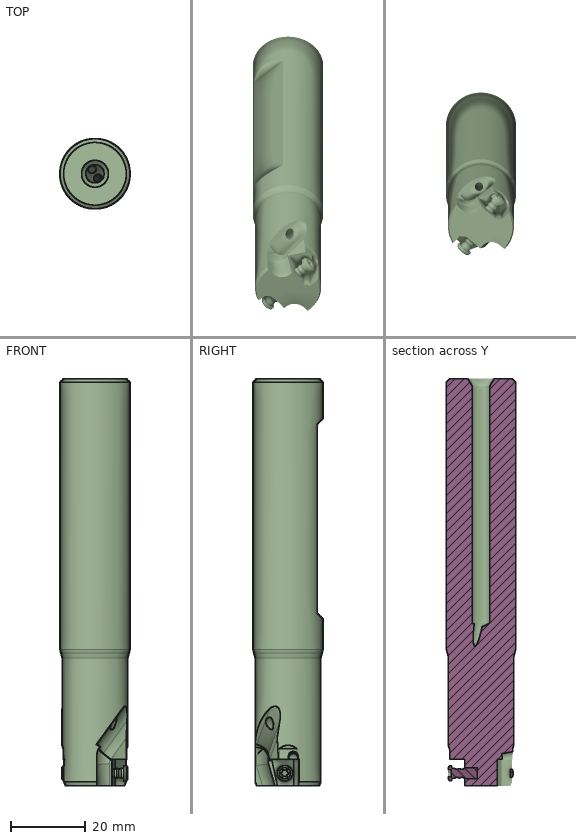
import cadquery as cq
import math


POCKET_ANGLES = (0, 180)
CLEAR = 11.0

LENGTH = 109.9
SHANK_DIAMETER = 19.0
SHANK_RADIUS = SHANK_DIAMETER / 2
TOP_CHAMFER = 1.04
SHANK_END = 36.9
SHOULDER_RADIUS = 9.2
SHOULDER_END = 35.9
NECK_START = 34.6
NECK_RADIUS = 8.9
TIP_CHAMFER_WIDTH = 0.4
TIP_CHAMFER_HEIGHT = 1.1

FLAT_Y = 7.9
FLAT_BOTTOM = 46.6
FLAT_TOP = 97.6

BORE_DIAMETER = 5.0
BORE_RADIUS = BORE_DIAMETER / 2
BORE_MOUTH_RADIUS = 3.6
BORE_MOUTH_DEPTH = (BORE_MOUTH_RADIUS - BORE_RADIUS) * math.sqrt(3)
BORE_END = 44.0
BORE_TIP_HEIGHT = BORE_RADIUS / math.sqrt(3)
BRANCH_RADIUS = 1.1
BRANCH_RUN_OUT = 3
BRANCH_START = cq.Vector(0.7, -1.1, BORE_END)
BRANCH_EXIT = cq.Vector(5.1, -5.0, 16.9)

FLUTE_LEAN = math.radians(36)
FLUTE_RISE = 0.29
FLUTE_ORIGIN = cq.Vector(0.7, -10.1, 11.5)
FLUTE_CORNER_DEPTH = 4.5
FLUTE_FLOOR_WIDTH = 5.4
FLUTE_FLOOR_SLOPE = 0.15
FLUTE_LIP_SLOPE = 0.45
FLUTE_CORNER_RADIUS = 3.3
FLUTE_LIP_WIDTH = 8.8

GULLET_X = 0.5
GULLET_TOP = 11.5
GULLET_BEND = 6.0
GULLET_BEND_Y = -5.3
GULLET_TIP_Y = -3.5
GULLET_CORNER_RADIUS = 3.3

LAND_X = 4.6
SEAT_X = 4.5
SEAT_TOP = 7.1
SEAT_EDGE_TIP_Y = -2.9
SEAT_EDGE_TOP_Y = -4.4
WALL_FOOT_Y = 1.5
WALL_BEVEL_X = 5.5
WALL_BEVEL_Y = 2.9
WALL_RIM_Y = 3.1
RELIEF_FLOOR = cq.Vector(5.8, 1.4, 7.5)
RELIEF_TILT = math.radians(10)
RELIEF_RADIUS = 1.3
RELIEF_DEPTH = 5.5

CROWN_X = 8.6
CROWN_TOP = 10.0
CROWN_SLOPE_RISE = 1.0
CROWN_SLOPE_RUN = NECK_RADIUS - CROWN_X

SCREW_Y = -0.9
SCREW_Z = 3.4
SCREW_END_X = 1.1
THREAD_DIAMETER = 2.7
THREAD_RADIUS = THREAD_DIAMETER / 2
ROOT_RADIUS = 1.1
THREAD_PITCH = 1.3
THREAD_COUNT = 2
HEAD_RADIUS = 2.1
HEAD_BASE_X = 7.8
HEAD_RIM_X = 8.5
HEAD_TOP_X = 8.9
HEAD_TOP_RADIUS = 1.5
SOCKET_DEPTH = 0.8
SOCKET_RADIUS = 0.82
LOBE_RADIUS = 0.24
LOBE_COUNT = 6


def make_blank():
    profile = [
        (0, 0),
        (NECK_RADIUS - TIP_CHAMFER_WIDTH, 0),
        (NECK_RADIUS, TIP_CHAMFER_HEIGHT),
        (NECK_RADIUS, NECK_START),
        (SHOULDER_RADIUS, SHOULDER_END),
        (SHANK_RADIUS, SHANK_END),
        (SHANK_RADIUS, LENGTH - TOP_CHAMFER),
        (SHANK_RADIUS - TOP_CHAMFER, LENGTH),
        (0, LENGTH),
    ]
    return cq.Workplane("XZ").polyline(profile).close().revolve(360, (0, 0), (0, 1))


def flat_cutter():
    run = SHANK_RADIUS - FLAT_Y
    profile = [
        (FLAT_Y, FLAT_BOTTOM),
        (SHANK_RADIUS, FLAT_BOTTOM - run),
        (SHANK_RADIUS, FLAT_TOP + run),
        (FLAT_Y, FLAT_TOP),
    ]
    return cq.Workplane("YZ").polyline(profile).close().extrude(CLEAR, both=True)


def bore_cutter():
    profile = [
        (0, BORE_END - BORE_TIP_HEIGHT),
        (BORE_RADIUS, BORE_END),
        (BORE_RADIUS, LENGTH - BORE_MOUTH_DEPTH),
        (BORE_MOUTH_RADIUS, LENGTH),
        (0, LENGTH),
    ]
    return cq.Workplane("XZ").polyline(profile).close().revolve(360, (0, 0), (0, 1))


def branch_cutter():
    path = BRANCH_EXIT - BRANCH_START
    run_out = BRANCH_RUN_OUT * BRANCH_RADIUS
    hole = cq.Solid.makeCylinder(BRANCH_RADIUS, path.Length + run_out, BRANCH_START, path)
    return cq.Workplane(hole)


def flute_cutter():
    across = cq.Vector(math.cos(FLUTE_LEAN), 0, -math.sin(FLUTE_LEAN))
    along = cq.Vector(math.sin(FLUTE_LEAN), FLUTE_RISE, math.cos(FLUTE_LEAN))
    lip_depth = FLUTE_CORNER_DEPTH + FLUTE_FLOOR_WIDTH * FLUTE_FLOOR_SLOPE
    lip_end = FLUTE_FLOOR_WIDTH + FLUTE_LIP_WIDTH
    profile = [
        (0, -CLEAR),
        (0, FLUTE_CORNER_DEPTH),
        (FLUTE_FLOOR_WIDTH, lip_depth),
        (lip_end, lip_depth + FLUTE_LIP_WIDTH * FLUTE_LIP_SLOPE),
        (lip_end, -CLEAR),
    ]
    prism = (
        cq.Workplane(cq.Plane(FLUTE_ORIGIN, across, along))
        .polyline(profile)
        .close()
        .extrude(2 * CLEAR)
    )
    corner = cq.selectors.NearestToPointSelector(
        (FLUTE_ORIGIN + along * CLEAR + cq.Vector(0, FLUTE_CORNER_DEPTH, 0)).toTuple()
    )
    return prism.edges(cq.selectors.ParallelDirSelector(along)).edges(corner).fillet(FLUTE_CORNER_RADIUS)


def gullet_cutter():
    slope = (GULLET_TIP_Y - GULLET_BEND_Y) / GULLET_BEND
    profile = [
        (GULLET_TIP_Y + slope * CLEAR, -CLEAR),
        (GULLET_BEND_Y, GULLET_BEND),
        (GULLET_BEND_Y, GULLET_TOP),
        (-2 * CLEAR, GULLET_TOP),
        (-2 * CLEAR, -CLEAR),
    ]
    prism = cq.Workplane("YZ", origin=(GULLET_X, 0, 0)).polyline(profile).close().extrude(CLEAR)
    return prism.faces("<X").edges("not (<Y or <Z)").fillet(GULLET_CORNER_RADIUS)


def seat_cutter():
    wall_profile = [
        (LAND_X, -CLEAR),
        (LAND_X, WALL_FOOT_Y),
        (WALL_BEVEL_X, WALL_BEVEL_Y),
        (CLEAR, WALL_RIM_Y),
        (CLEAR, -CLEAR),
    ]
    opening = cq.Workplane("XY").polyline(wall_profile).close().extrude(SEAT_TOP)
    seat_profile = [
        (SEAT_EDGE_TIP_Y, 0),
        (WALL_FOOT_Y, 0),
        (WALL_FOOT_Y, SEAT_TOP),
        (SEAT_EDGE_TOP_Y, SEAT_TOP),
    ]
    seat = cq.Workplane("YZ", origin=(SEAT_X, 0, 0)).polyline(seat_profile).close().extrude(CLEAR)
    relief_axis = cq.Vector(math.cos(RELIEF_TILT), 0, math.sin(RELIEF_TILT))
    relief = cq.Solid.makeCylinder(RELIEF_RADIUS, RELIEF_DEPTH, RELIEF_FLOOR, relief_axis)
    return opening.union(seat).union(cq.Workplane(relief))


def crown_cutter():
    profile = [
        (CROWN_X, SEAT_TOP),
        (CROWN_X, CROWN_TOP),
        (CROWN_X + CROWN_SLOPE_RUN, CROWN_TOP + CROWN_SLOPE_RISE),
        (CLEAR, CROWN_TOP + CROWN_SLOPE_RISE),
        (CLEAR, SEAT_TOP),
    ]
    return cq.Workplane("XZ").polyline(profile).close().extrude(CLEAR / 2, both=True)


def screw_plane(x):
    return cq.Workplane("YZ", origin=(x, SCREW_Y, SCREW_Z))


def screw_hole_cutter():
    return screw_plane(SCREW_END_X).circle(THREAD_RADIUS).extrude(SEAT_X - SCREW_END_X)


def make_tool_body():
    body = make_blank().cut(flat_cutter()).cut(bore_cutter())
    cutters = [
        branch_cutter(),
        flute_cutter(),
        gullet_cutter(),
        seat_cutter(),
        crown_cutter(),
        screw_hole_cutter(),
    ]
    for angle in POCKET_ANGLES:
        for cutter in cutters:
            body = body.cut(cutter.rotate((0, 0, 0), (0, 0, 1), angle))
    return body.solids()


def make_screw():
    profile = [(SCREW_END_X, 0), (SCREW_END_X, THREAD_RADIUS)]
    for i in range(THREAD_COUNT):
        start = SEAT_X + i * THREAD_PITCH
        profile += [(start, THREAD_RADIUS), (start + THREAD_PITCH / 2, ROOT_RADIUS)]
    profile += [
        (SEAT_X + THREAD_COUNT * THREAD_PITCH, THREAD_RADIUS),
        (HEAD_BASE_X, THREAD_RADIUS),
        (HEAD_BASE_X, HEAD_RADIUS),
        (HEAD_RIM_X, HEAD_RADIUS),
        (HEAD_TOP_X, HEAD_TOP_RADIUS),
        (HEAD_TOP_X, 0),
    ]
    screw = (
        cq.Workplane("XY", origin=(0, SCREW_Y, SCREW_Z))
        .polyline(profile)
        .close()
        .revolve(360, (0, 0), (1, 0))
    )
    socket_plane = screw_plane(HEAD_TOP_X - SOCKET_DEPTH)
    socket = socket_plane.circle(SOCKET_RADIUS).extrude(SOCKET_DEPTH)
    lobe_centers = socket_plane.polarArray(SOCKET_RADIUS, 0, 360, LOBE_COUNT)
    lobes = lobe_centers.circle(LOBE_RADIUS).extrude(SOCKET_DEPTH)
    return screw.cut(socket).cut(lobes).solids()


tool_body = make_tool_body()
screws = [make_screw().rotate((0, 0, 0), (0, 0, 1), angle) for angle in POCKET_ANGLES]

result = cq.Compound.makeCompound([tool_body.val(), *[screw.val() for screw in screws]])